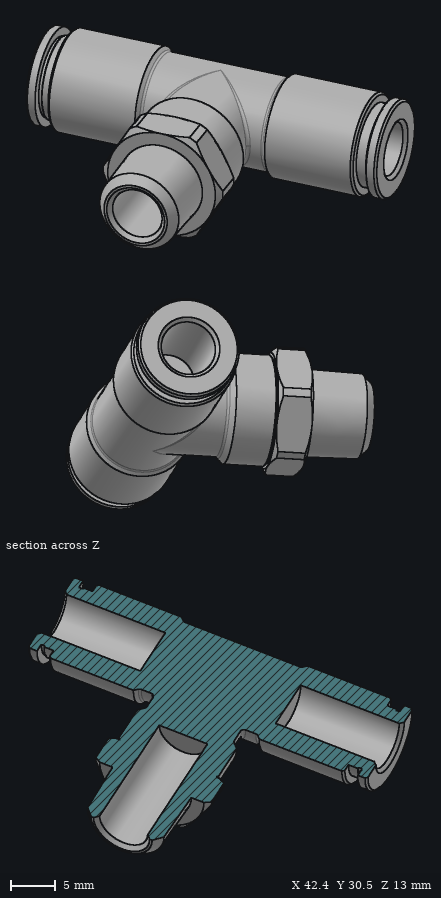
import cadquery as cq
import math

run_length = 42.4
run_half_length = run_length / 2
run_diameter = 11.0
socket_diameter = 12.0
socket_inner_x = 7.85
socket_outer_x = 18.45
socket_outer_chamfer = 0.25

neck_diameter = 9.7
neck_outer_x = 19.6
stem_diameter = 9.37
collar_diameter = 11.5
collar_thickness = 1.2
collar_chamfer = 0.25
tube_bore_diameter = 6.15
tube_bore_mouth_diameter = 7.0
tube_bore_depth = 12.72

overall_depth = 30.5
branch_length = overall_depth - socket_diameter / 2
branch_diameter = run_diameter
sleeve_diameter = 12.5
sleeve_start = 8.3
sleeve_end_chamfer = 0.2

shoulder_fillet = 0.42
crotch_fillet = 0.4

hex_start = 13.0
hex_end = 17.0
hex_across_flats = 13.0
hex_corner_diameter = 14.5
hex_chamfer_angle = 30

stub_root_diameter = 9.9
stub_tip_diameter = 9.6
stub_end_diameter = 7.65
stub_chamfer_length = 1.0
stub_bore_diameter = 6.0
stub_bore_mouth_diameter = 7.0
stub_bore_depth = 15.25


def revolve_along_x(points):
    """Revolve (x, radius) points about the X axis."""
    return cq.Workplane("XY").polyline(points).close().revolve(360, (0, 0), (1, 0))


def revolve_along_branch(points):
    """Revolve (radius, distance) points about the branch axis, which points to -Y."""
    outline = [(radius, -distance) for radius, distance in points]
    return cq.Workplane("XY").polyline(outline).close().revolve(360, (0, 0), (0, 1))


def crossing_tubes():
    """Plain run and branch tubes of equal diameter, with a fillet along their seam."""
    run_tube = (
        cq.Workplane("YZ", origin=(-socket_inner_x, 0, 0))
        .circle(run_diameter / 2)
        .extrude(2 * socket_inner_x)
    )
    branch_tube = cq.Workplane("XZ").circle(branch_diameter / 2).extrude(sleeve_start)
    return run_tube.union(branch_tube).edges("%ELLIPSE").fillet(crotch_fillet)


def shoulder(tube_diameter, large_diameter, end_x):
    """45 degree cone along +X that reaches the large diameter at end_x, its root filleted into the tube."""
    tube_r = tube_diameter / 2
    large_r = large_diameter / 2
    slope = math.radians(45)
    cone_start_r = tube_r + shoulder_fillet * (1 - math.cos(slope))
    cone_start_x = end_x - (large_r - cone_start_r)
    fillet_start_x = cone_start_x - shoulder_fillet * math.sin(slope)
    arc_middle = (
        fillet_start_x + shoulder_fillet * math.sin(slope / 2),
        tube_r + shoulder_fillet * (1 - math.cos(slope / 2)),
    )
    return (
        cq.Workplane("XY")
        .moveTo(fillet_start_x, 0)
        .lineTo(fillet_start_x, tube_r)
        .threePointArc(arc_middle, (cone_start_x, cone_start_r))
        .lineTo(end_x, large_r)
        .lineTo(end_x, 0)
        .close()
        .revolve(360, (0, 0), (1, 0))
    )


def run_end():
    """Socket, neck, stem and release collar at the +X end of the run."""
    socket_r = socket_diameter / 2
    neck_r = neck_diameter / 2
    stem_r = stem_diameter / 2
    collar_r = collar_diameter / 2
    collar_x = run_half_length - collar_thickness
    body = revolve_along_x([
        (socket_inner_x, 0),
        (socket_inner_x, socket_r),
        (socket_outer_x - socket_outer_chamfer, socket_r),
        (socket_outer_x, socket_r - socket_outer_chamfer),
        (socket_outer_x, neck_r),
        (neck_outer_x, neck_r),
        (neck_outer_x, stem_r),
        (collar_x, stem_r),
        (collar_x, collar_r),
        (run_half_length - collar_chamfer, collar_r),
        (run_half_length, collar_r - collar_chamfer),
        (run_half_length, 0),
    ])
    return body.union(shoulder(run_diameter, socket_diameter, socket_inner_x))


def tube_bore():
    """Blind tube bore with a 45 degree mouth at the +X end."""
    bore_r = tube_bore_diameter / 2
    mouth_r = tube_bore_mouth_diameter / 2
    bottom_x = run_half_length - tube_bore_depth
    return revolve_along_x([
        (bottom_x, 0),
        (bottom_x, bore_r),
        (run_half_length - (mouth_r - bore_r), bore_r),
        (run_half_length, mouth_r),
        (run_half_length, 0),
    ])


def branch():
    """Sleeve and tapered stub; the hexagon is added separately."""
    sleeve_r = sleeve_diameter / 2
    sleeve_end_r = sleeve_r - sleeve_end_chamfer
    stub_root_r = stub_root_diameter / 2
    sleeve_shoulder = shoulder(branch_diameter, sleeve_diameter, sleeve_start)
    body = revolve_along_branch([
        (0, sleeve_start),
        (sleeve_r, sleeve_start),
        (sleeve_r, hex_start - sleeve_end_chamfer),
        (sleeve_end_r, hex_start),
        (stub_root_r, hex_start),
        (stub_root_r, hex_end),
        (stub_tip_diameter / 2, branch_length - stub_chamfer_length),
        (stub_end_diameter / 2, branch_length),
        (0, branch_length),
    ])
    return body.union(sleeve_shoulder.rotate((0, 0, 0), (0, 0, 1), -90))


def hexagon():
    """Hexagon with flats facing +Z and -Z, turned-down corners and chamfered ends."""
    prism = (
        cq.Workplane("XZ", origin=(0, -hex_start, 0))
        .polygon(6, hex_across_flats / math.cos(math.radians(30)))
        .extrude(hex_end - hex_start)
    )
    face_r = hex_across_flats / 2
    corner_r = hex_corner_diameter / 2
    chamfer_length = (corner_r - face_r) * math.tan(math.radians(hex_chamfer_angle))
    envelope = revolve_along_branch([
        (0, hex_start),
        (face_r, hex_start),
        (corner_r, hex_start + chamfer_length),
        (corner_r, hex_end - chamfer_length),
        (face_r, hex_end),
        (0, hex_end),
    ])
    return prism.intersect(envelope)


def stub_bore():
    """Blind bore with a 45 degree mouth at the stub end."""
    bore_r = stub_bore_diameter / 2
    mouth_r = stub_bore_mouth_diameter / 2
    bottom = branch_length - stub_bore_depth
    return revolve_along_branch([
        (0, bottom),
        (bore_r, bottom),
        (bore_r, branch_length - (mouth_r - bore_r)),
        (mouth_r, branch_length),
        (0, branch_length),
    ])


result = (
    crossing_tubes()
    .union(run_end())
    .union(run_end().mirror("YZ"))
    .union(branch())
    .union(hexagon())
    .cut(tube_bore())
    .cut(tube_bore().mirror("YZ"))
    .cut(stub_bore())
)